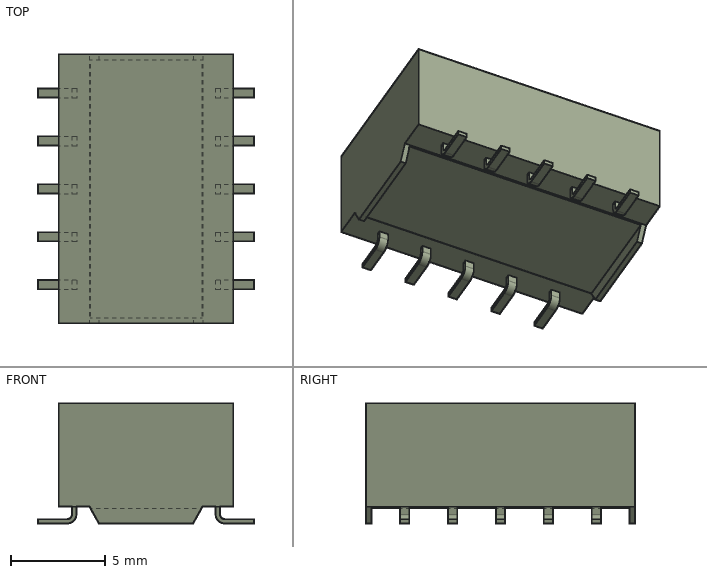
import cadquery as cq

body_length = 14.3
body_width = 9.3
overall_height = 6.4
overall_width = 11.5
standoff = 0.9

base_top_width = 6.0
base_bottom_width = 5.0
foot_thickness = 0.3
base_plate_thickness = 0.07

leads_per_side = 5
lead_pitch = 2.55
lead_width = 0.5
lead_thickness = 0.25
lead_inner_face = 3.69
bend_inner_radius = 0.26
bend_outer_radius = bend_inner_radius + lead_thickness


def make_body():
    """Plain rectangular housing standing above the mounting plane."""
    return (
        cq.Workplane("XY")
        .workplane(offset=standoff)
        .rect(body_width, body_length)
        .extrude(overall_height - standoff)
    )


def make_base():
    """Full-length trapezoid, cut away to a thin plate between the end feet."""
    block = (
        cq.Workplane("XZ")
        .moveTo(-base_top_width / 2, standoff)
        .lineTo(-base_bottom_width / 2, 0)
        .lineTo(base_bottom_width / 2, 0)
        .lineTo(base_top_width / 2, standoff)
        .close()
        .extrude(body_length / 2, both=True)
    )
    gap_between_feet = cq.Workplane("XY").box(
        base_top_width,
        body_length - 2 * foot_thickness,
        standoff - base_plate_thickness,
        centered=(True, True, False),
    )
    return block.cut(gap_between_feet)


def make_lead(y_center):
    """Right-hand (+X) lead: an upright, a rounded bend and a flat toe."""
    tip = overall_width / 2
    bend_center_x = lead_inner_face + bend_outer_radius
    return (
        cq.Workplane("XZ", origin=(0, y_center, 0))
        .moveTo(lead_inner_face, standoff)
        .lineTo(lead_inner_face, bend_outer_radius)
        .radiusArc((bend_center_x, 0), -bend_outer_radius)
        .lineTo(tip, 0)
        .lineTo(tip, lead_thickness)
        .lineTo(bend_center_x, lead_thickness)
        .radiusArc((lead_inner_face + lead_thickness, bend_outer_radius), bend_inner_radius)
        .lineTo(lead_inner_face + lead_thickness, standoff)
        .close()
        .extrude(lead_width / 2, both=True)
    )


result = make_body().union(make_base())
for index in range(leads_per_side):
    lead = make_lead((index - (leads_per_side - 1) / 2) * lead_pitch)
    result = result.union(lead).union(lead.mirror("YZ"))